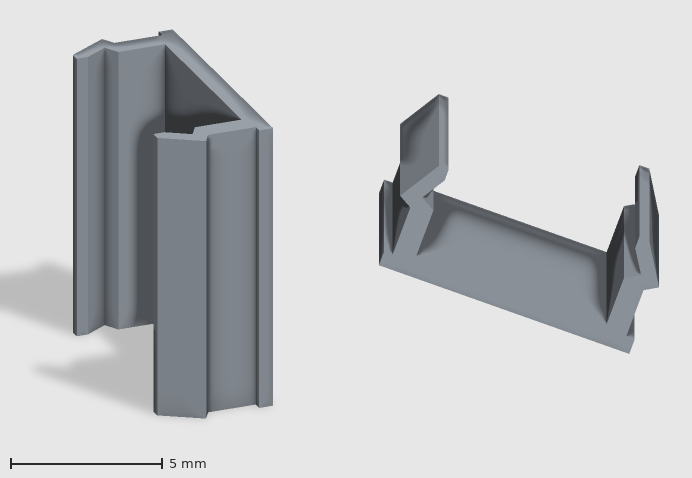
import cadquery as cq

length = 10.0
depth = 3.85
cover_width = 8.8
cover_edge = 0.5
cover_thickness = 0.7
leg_outer = 4.1
leg_inner = 3.35
barb_outer = 4.55
barb_inner = 3.85
tip_outer = 3.7

outer_bend = 2.2
barb_point = 2.46
inner_bend = 2.37
notch_point = 2.65
tip_start = 3.45

back = depth / 2
front = -depth / 2

right_half = [
    (cover_width / 2, back),
    (cover_width / 2, back - cover_edge),
    (leg_outer, back - cover_edge),
    (leg_outer, back - outer_bend),
    (barb_outer, back - barb_point),
    (tip_outer, front),
    (leg_inner, front),
    (leg_inner, back - tip_start),
    (barb_inner, back - notch_point),
    (leg_inner, back - inner_bend),
    (leg_inner, back - cover_thickness),
]
left_half = [(-x, y) for x, y in reversed(right_half)]

result = (
    cq.Workplane("XY")
    .workplane(offset=-length / 2)
    .polyline(right_half + left_half)
    .close()
    .extrude(length)
)